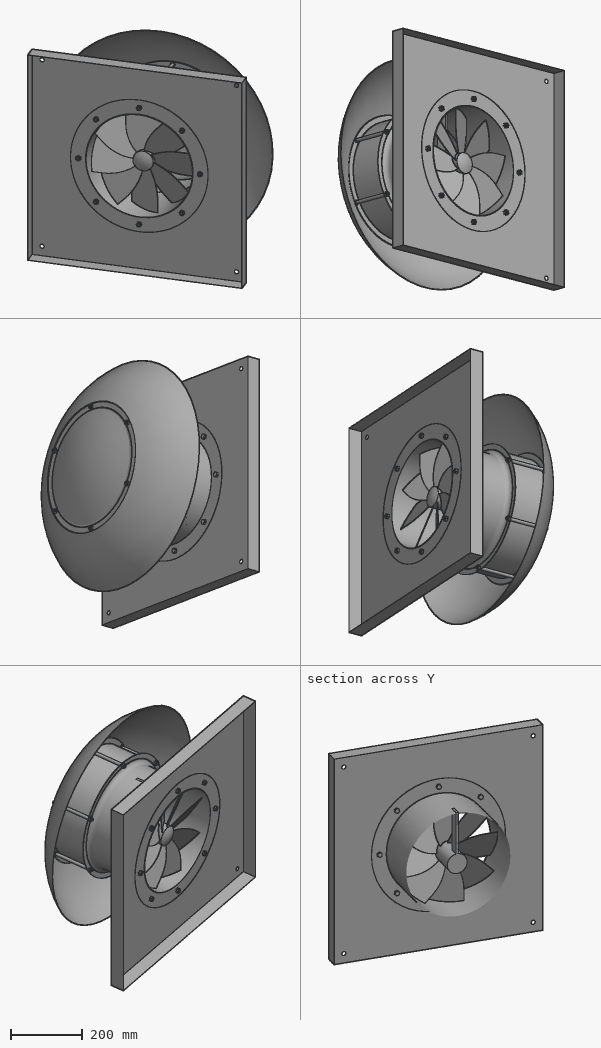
import cadquery as cq
import math

sheet = 2.0
plate_sheet = 1.0

plate_side = 630.0
plate_height = 42.0
plate_hole_pitch = 571.0
plate_hole_dia = 12.0
plate_front = plate_height - plate_sheet

flange_radius = 202.0
duct_radius = 158.0
bell_radius = 14.5
ring_radius = 188.0
ring_front = 230.0
ring_back = ring_front + sheet
bell_start = ring_front - bell_radius
bell_edge_radius = duct_radius + bell_radius

drum_radius = bell_edge_radius

overall_height = 377.4
hood_top = 348.4
hood_flat_radius = 190.0
hood_rim_radius = 331.27
hood_rim_y = 233.5
hood_mid_radius = 271.5
hood_mid_y = 302.0
cap_radius = 166.0

stud_dia = 7.0
sleeve_dia = 10.0
nut_across_flats = 13.0
nut_height = 5.0
stud_end = 4.0
bolt_end_length = 2.0
flange_bolt_count = 8
flange_bolt_radius = 178.5
tie_rod_count = 6
tie_rod_radius = 180.0

blade_count = 8
blade_pitch_angle = 30.0
blade_half_width = 46.5
blade_root_half_width = 20.0
blade_half_chord = blade_half_width / math.cos(math.radians(blade_pitch_angle))
blade_root_half_chord = blade_root_half_width / math.cos(math.radians(blade_pitch_angle))
blade_root_radius = 24.0
blade_straight_radius = 114.0
blade_tip_gap = 2.0
blade_tip_radius = duct_radius - sheet - blade_tip_gap
blade_axis_y = 90.0
hub_radius = 30.0
hub_front = 76.0
hub_cap_height = 7.0
strut_width = 7.0
strut_start = 150.0
strut_end = 181.5


def revolved(profile):
    """Revolve a closed (Y, radius) profile about the Y axis."""
    return profile.close().revolve(360, (0, 0, 0), (1, 0, 0))


def profile_from(y, radius):
    return cq.Workplane("YZ").moveTo(y, radius)


def around_axis(body, count):
    """Copies of a body equally spaced about the Y axis."""
    step = 360.0 / count
    return [body.rotate((0, 0, 0), (0, 1, 0), i * step) for i in range(count)]


def disc(radius, y_start, y_end, z=0.0):
    """Cylinder along Y."""
    return (
        cq.Workplane("XZ", origin=(0, y_start, z))
        .circle(radius)
        .extrude(y_start - y_end)
    )


def make_base_plate():
    plate = (
        cq.Workplane("XZ")
        .rect(plate_side, plate_side)
        .extrude(-plate_height)
        .faces("<Y")
        .shell(-plate_sheet)
    )
    corner_holes = (
        cq.Workplane("XZ")
        .rect(plate_hole_pitch, plate_hole_pitch, forConstruction=True)
        .vertices()
        .circle(plate_hole_dia / 2)
        .extrude(-plate_height)
    )
    return plate.cut(corner_holes).cut(disc(flange_radius, 0, plate_height))


def make_duct():
    """Flange, straight duct, outward flare and outlet ring in one revolved sheet."""
    inner_radius = duct_radius - sheet
    diagonal = math.sqrt(0.5)
    outer_mid = (
        bell_start + bell_radius * diagonal,
        bell_edge_radius - bell_radius * diagonal,
    )
    inner_flare = bell_radius + sheet
    inner_mid = (
        bell_start + inner_flare * diagonal,
        bell_edge_radius - inner_flare * diagonal,
    )
    return revolved(
        profile_from(plate_front, inner_radius)
        .lineTo(plate_front, flange_radius)
        .lineTo(plate_height, flange_radius)
        .lineTo(plate_height, duct_radius)
        .lineTo(bell_start, duct_radius)
        .threePointArc(outer_mid, (ring_front, bell_edge_radius))
        .lineTo(ring_front, ring_radius)
        .lineTo(ring_back, ring_radius)
        .lineTo(ring_back, bell_edge_radius)
        .threePointArc(inner_mid, (bell_start, inner_radius))
    )


def make_drum():
    return revolved(
        profile_from(ring_front, drum_radius)
        .lineTo(hood_top - sheet, drum_radius)
        .lineTo(hood_top - sheet, drum_radius - sheet)
        .lineTo(ring_front, drum_radius - sheet)
    )


def make_hood():
    """Skirt, flat annulus and cap as one revolved sheet."""
    cap_height = overall_height - hood_top
    sphere_radius = (cap_radius**2 + cap_height**2) / (2 * cap_height)
    half_angle = math.asin(cap_radius / sphere_radius) / 2
    cap_mid_radius = sphere_radius * math.sin(half_angle)
    cap_mid_y = overall_height - sphere_radius * (1 - math.cos(half_angle))
    return revolved(
        profile_from(overall_height, 0)
        .threePointArc((cap_mid_y, cap_mid_radius), (hood_top, cap_radius))
        .lineTo(hood_top, hood_flat_radius)
        .threePointArc((hood_mid_y, hood_mid_radius), (hood_rim_y, hood_rim_radius))
        .lineTo(hood_rim_y, hood_rim_radius - sheet)
        .threePointArc(
            (hood_mid_y - sheet, hood_mid_radius - sheet),
            (hood_top - sheet, hood_flat_radius - sheet),
        )
        .lineTo(hood_top - sheet, cap_radius)
        .threePointArc((cap_mid_y - sheet, cap_mid_radius), (overall_height - sheet, 0))
    )


def nut(y_start, z):
    """Hexagonal nut along Y with two corners pointing sideways."""
    across_corners = nut_across_flats / math.cos(math.radians(30))
    return (
        cq.Workplane("XZ", origin=(0, y_start, z))
        .polygon(6, across_corners)
        .extrude(-nut_height)
    )


def make_tie_rod():
    """Sleeve between the outlet ring and the hood, on a stud with a nut at each end."""
    reach = nut_height + stud_end
    rod = disc(stud_dia / 2, ring_front - reach, hood_top + reach, z=tie_rod_radius)
    sleeve = disc(sleeve_dia / 2, ring_back, hood_top - sheet, z=tie_rod_radius)
    front_nut = nut(ring_front - nut_height, tie_rod_radius)
    back_nut = nut(hood_top, tie_rod_radius)
    return rod.union(sleeve).union(front_nut).union(back_nut)


def make_flange_bolt():
    bolt_end = disc(
        stud_dia / 2,
        plate_front - nut_height - bolt_end_length,
        plate_front,
        z=flange_bolt_radius,
    )
    front_nut = nut(plate_front - nut_height, flange_bolt_radius)
    back_head = nut(plate_height, flange_bolt_radius)
    return bolt_end.union(front_nut).union(back_head)


def make_blade():
    """Flat pitched blade pointing along +Z, curved in toward the hub, trimmed at the tip."""
    edge_rise = blade_straight_radius - blade_root_radius
    edge_inset = blade_half_chord - blade_root_half_chord
    arc_radius = (edge_rise**2 + edge_inset**2) / (2 * edge_inset)
    half_angle = math.asin(edge_rise / arc_radius) / 2
    mid_chord = blade_half_chord - arc_radius * (1 - math.cos(half_angle))
    mid_radius = blade_straight_radius - arc_radius * math.sin(half_angle)
    blade = (
        cq.Workplane("XZ")
        .moveTo(-blade_root_half_chord, blade_root_radius)
        .threePointArc((-mid_chord, mid_radius), (-blade_half_chord, blade_straight_radius))
        .lineTo(-blade_half_chord, blade_tip_radius)
        .lineTo(blade_half_chord, blade_tip_radius)
        .lineTo(blade_half_chord, blade_straight_radius)
        .threePointArc((mid_chord, mid_radius), (blade_root_half_chord, blade_root_radius))
        .lineTo(0, 0)
        .close()
        .extrude(-sheet)
        .rotate((0, 0, 0), (0, 0, 1), blade_pitch_angle)
        .translate((0, blade_axis_y, 0))
    )
    return blade.intersect(disc(blade_tip_radius, 0, overall_height))


def make_hub():
    """Cylindrical hub and motor with a domed nose."""
    sphere_radius = (hub_radius**2 + hub_cap_height**2) / (2 * hub_cap_height)
    half_angle = math.asin(hub_radius / sphere_radius) / 2
    nose_y = hub_front - hub_cap_height
    nose_mid_y = nose_y + sphere_radius * (1 - math.cos(half_angle))
    return revolved(
        profile_from(nose_y, 0)
        .threePointArc(
            (nose_mid_y, sphere_radius * math.sin(half_angle)),
            (hub_front, hub_radius),
        )
        .lineTo(strut_end, hub_radius)
        .lineTo(strut_end, 0)
    )


def make_strut():
    """Upright strip holding the motor in the duct."""
    length = strut_end - strut_start
    height = duct_radius - sheet / 2
    return cq.Workplane("XY").rect(strut_width, length).extrude(height).translate(
        (0, strut_start + length / 2, 0)
    )


def make_fan():
    fan = make_duct().union(make_drum()).union(make_hood())
    fan = fan.union(make_hub()).union(make_strut())
    parts = around_axis(make_blade(), blade_count)
    parts += around_axis(make_tie_rod(), tie_rod_count)
    parts += around_axis(make_flange_bolt(), flange_bolt_count)
    for part in parts:
        fan = fan.union(part)
    return fan


base_plate = make_base_plate()
fan = make_fan()
result = cq.Compound.makeCompound([base_plate.solids().val(), fan.solids().val()])